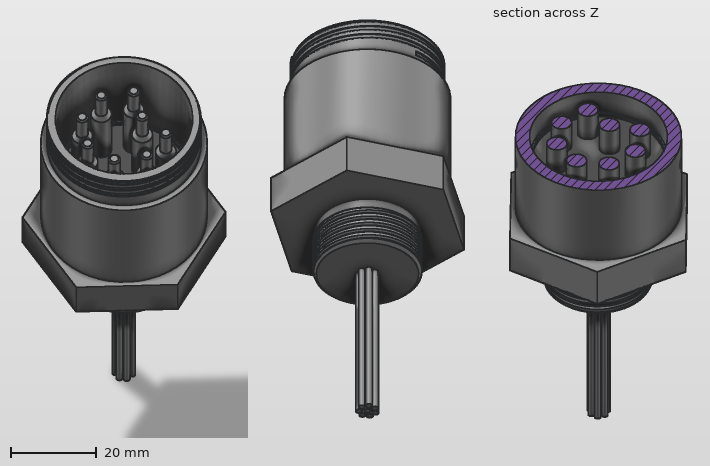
import cadquery as cq
import math

HEX_HEIGHT = 9.75
BARREL_HEIGHT = 28.5
COLLAR_HEIGHT = 9.75
BARREL_BASE = HEX_HEIGHT
COLLAR_BASE = BARREL_BASE + BARREL_HEIGHT
TOP = COLLAR_BASE + COLLAR_HEIGHT

HEX_ACROSS_FLATS = 41.0
HEX_ACROSS_CORNERS = HEX_ACROSS_FLATS / math.cos(math.pi / 6)
BARREL_DIAMETER = 38.8
COLLAR_DIAMETER = 36.0

SOCKET_DIAMETER = 32.0
FLOOR_DIAMETER = 31.0
FLOOR_DEPTH = 24.0
LEDGE_HEIGHT = 1.0
FLOOR_Z = TOP - FLOOR_DEPTH

COLLAR_PITCH = 25.4 / 11
COLLAR_GROOVE_WIDTH = COLLAR_PITCH / 2
COLLAR_GROOVE_DEPTH = 0.3
COLLAR_TURNS = 3.5
COLLAR_GROOVE_START_ANGLE = 171.0
COLLAR_GROOVE_START_DEPTH = 6.75

STUB_LENGTH = 12.7
STUB_BOTTOM = -STUB_LENGTH
NECK_DIAMETER = 24.25
NECK_LENGTH = 2.4
STUB_DIAMETER = 25.4
STUB_STEP = (STUB_DIAMETER - NECK_DIAMETER) / 2
STUB_CHAMFER = 0.8
STUB_PITCH = 25.4 / 14
STUB_GROOVE_WIDTH = STUB_PITCH / 2
STUB_ROOT_WIDTH = 0.15
STUB_GROOVE_START_ANGLE = 180.0
STUB_GROOVE_START_Z = -12.9
STUB_TURNS = 6

PIN_COUNT = 8
PIN_CIRCLE_RADIUS = 10.0
KEY_PIN_INDEX = 2
KEY_PIN_RADIUS = 5.0
PIN_BASE_DIAMETER = 4.8
PIN_DIAMETER = 2.8
PIN_CONE_HEIGHT = (PIN_BASE_DIAMETER - PIN_DIAMETER) / 2
PIN_SHOULDER_Z = TOP - 10.0
PIN_TIP_Z = TOP - 2.5
PIN_TIP_CHAMFER = 0.4

WIRE_DIAMETER = 1.5
WIRE_LENGTH = 40.0
WIRE_RING_COUNT = 7
WIRE_RING_RADIUS = 2.0

OVERLAP = 0.5
ROD_MARGIN = 2.0


def cylinder(diameter, bottom, top):
    return cq.Workplane("XY").workplane(offset=bottom).circle(diameter / 2).extrude(top - bottom)


def ring_points(count, radius, first_angle=0.0):
    points = []
    for index in range(count):
        angle = math.radians(first_angle) + 2 * math.pi * index / count
        points.append((radius * math.cos(angle), radius * math.sin(angle)))
    return points


def helical_groove(diameter, depth, mouth_width, root_width, pitch, turns):
    """Right-hand groove cutter, rising from Z = 0 at +X, `depth` deep in a rod of `diameter`."""
    radius = diameter / 2
    flare = OVERLAP * (mouth_width - root_width) / (2 * depth)
    outer_half = mouth_width / 2 + flare
    root_half = root_width / 2
    outer = radius + OVERLAP
    root = radius - depth
    section = [(root, -root_half), (outer, -outer_half), (outer, outer_half), (root, root_half)]
    path = cq.Workplane(obj=cq.Wire.makeHelix(pitch, pitch * turns, radius))
    return cq.Workplane("XZ").polyline(section).close().sweep(path, isFrenet=True)


def cut_thread(blank, diameter, groove, start_angle, start_z):
    """Groove a rod longer than the thread, then trim it to the shape of the blank."""
    groove = groove.rotate((0, 0, 0), (0, 0, 1), start_angle).translate((0, 0, start_z))
    groove_box = groove.val().BoundingBox()
    blank_box = blank.val().BoundingBox()
    rod_bottom = min(groove_box.zmin, blank_box.zmin) - ROD_MARGIN
    rod_top = max(groove_box.zmax, blank_box.zmax) + ROD_MARGIN
    return cylinder(diameter, rod_bottom, rod_top).cut(groove).intersect(blank)


def make_shell():
    hexagon = cq.Workplane("XY").polygon(6, HEX_ACROSS_CORNERS).extrude(HEX_HEIGHT)
    barrel = cylinder(BARREL_DIAMETER, BARREL_BASE, COLLAR_BASE)
    return hexagon.union(barrel).union(make_collar()).cut(make_socket())


def make_collar():
    blank = cylinder(COLLAR_DIAMETER, COLLAR_BASE, TOP)
    groove = helical_groove(
        COLLAR_DIAMETER,
        COLLAR_GROOVE_DEPTH,
        COLLAR_GROOVE_WIDTH,
        COLLAR_GROOVE_WIDTH,
        COLLAR_PITCH,
        COLLAR_TURNS,
    )
    start_z = TOP - COLLAR_GROOVE_START_DEPTH
    return cut_thread(blank, COLLAR_DIAMETER, groove, COLLAR_GROOVE_START_ANGLE, start_z)


def make_socket():
    floor_recess = cylinder(FLOOR_DIAMETER, FLOOR_Z, TOP)
    bore = cylinder(SOCKET_DIAMETER, FLOOR_Z + LEDGE_HEIGHT, TOP)
    return floor_recess.union(bore)


def make_stub():
    neck = cylinder(NECK_DIAMETER, -NECK_LENGTH, 0)
    blank = cylinder(STUB_DIAMETER, STUB_BOTTOM, -NECK_LENGTH)
    blank = blank.faces("<Z").chamfer(STUB_CHAMFER)
    blank = blank.faces(">Z").chamfer(STUB_STEP)
    groove = helical_groove(
        STUB_DIAMETER,
        STUB_STEP,
        STUB_GROOVE_WIDTH,
        STUB_ROOT_WIDTH,
        STUB_PITCH,
        STUB_TURNS,
    )
    thread = cut_thread(blank, STUB_DIAMETER, groove, STUB_GROOVE_START_ANGLE, STUB_GROOVE_START_Z)
    return neck.union(thread)


def make_pin():
    """Stepped pin on the Z axis: wide base, cone shoulder, slim shaft with a chamfered tip."""
    base = cylinder(PIN_BASE_DIAMETER, FLOOR_Z - OVERLAP, PIN_SHOULDER_Z + PIN_CONE_HEIGHT)
    base = base.faces(">Z").edges().chamfer(PIN_CONE_HEIGHT)
    shaft = cylinder(PIN_DIAMETER, PIN_SHOULDER_Z, PIN_TIP_Z)
    shaft = shaft.faces(">Z").chamfer(PIN_TIP_CHAMFER)
    return base.union(shaft)


def add_pins(body):
    points = ring_points(PIN_COUNT, PIN_CIRCLE_RADIUS)
    points[KEY_PIN_INDEX] = (0, KEY_PIN_RADIUS)
    pin = make_pin()
    for x, y in points:
        body = body.union(pin.translate((x, y, 0)))
    return body


def add_wires(body):
    points = [(0, 0)] + ring_points(WIRE_RING_COUNT, WIRE_RING_RADIUS, first_angle=90)
    wire = cylinder(WIRE_DIAMETER, STUB_BOTTOM - WIRE_LENGTH, STUB_BOTTOM + OVERLAP)
    for x, y in points:
        body = body.union(wire.translate((x, y, 0)))
    return body


result = add_wires(add_pins(make_shell().union(make_stub())))